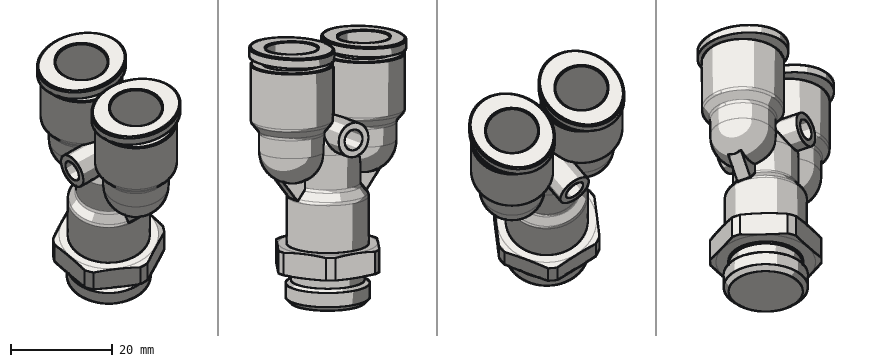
import cadquery as cq
import math

TOTAL_HEIGHT = 53.0

SPIGOT_RADIUS = 8.35
SPIGOT_CHAMFER = 1.0
SPIGOT_SHOULDER_HEIGHT = 3.9
RELIEF_RADIUS = 7.3
RELIEF_START = 4.5
RELIEF_FLARE_WIDTH = 0.15
RELIEF_FLARE_HEIGHT = 0.4

HEX_ACROSS_FLATS = 20.0
HEX_CORNER_RADIUS = 11.05
HEX_BOTTOM = 6.95
HEX_TOP = 12.0
HEX_CHAMFER_RADIUS = 9.85
HEX_TOP_CHAMFER_DROP = 0.3
HEX_BOTTOM_CHAMFER_DROP = 0.15

WIDE_RADIUS = 8.15
NARROW_RADIUS = 6.5
SLEEVE_BLEND = 1.0
EDGE_TOLERANCE = 0.01

BODY_TOP = 22.0
STEM_START = 24.1
STEM_DOME_CENTER = 31.5

BRANCH_OFFSET = 8.5
BRANCH_DOME_CENTER = 32.0
BRANCH_CONE_BOTTOM = 36.0
BRANCH_CONE_TOP = 38.0
BRANCH_TOP = 49.8
BRANCH_EDGE_CHAMFER = 0.2

COLLAR_NECK_RADIUS = 5.85
COLLAR_BOTTOM = 51.0
COLLAR_RADIUS_X = 8.0
COLLAR_RADIUS_Y = 9.35
COLLAR_CHAMFER = 0.3
BORE_RADIUS = 5.15
BORE_CHAMFER = 0.2
BORE_FLOOR = BRANCH_DOME_CENTER

TUBE_RADIUS = 3.5
TUBE_HOLE_RADIUS = 2.1
TUBE_HALF_LENGTH = 9.35
TUBE_HEIGHT = 35.0

WEB_THICKNESS = 3.0
WEB_TOP = 48.1
GUSSET_OUTER_X = 11.6
GUSSET_OUTER_Z = 26.4


def cylinder(radius, bottom, top):
    """Vertical cylinder on the Z axis between two heights."""
    return cq.Workplane("XY").workplane(offset=bottom).circle(radius).extrude(top - bottom)


def dome(center_height):
    """Sphere that rounds off a narrow sleeve."""
    return cq.Workplane("XY").sphere(NARROW_RADIUS).translate((0, 0, center_height))


def revolve_profile(points):
    """Solid of revolution about Z from (radius, height) points."""
    return cq.Workplane("XZ").polyline(points).close().revolve(360, (0, 0, 0), (0, 1, 0))


def round_edges_at(sleeve, heights):
    """Blend the circular edges of a sleeve that lie at the given heights."""
    for height in heights:
        lower_corner = (-WIDE_RADIUS, -WIDE_RADIUS, height - EDGE_TOLERANCE)
        upper_corner = (WIDE_RADIUS, WIDE_RADIUS, height + EDGE_TOLERANCE)
        sleeve = sleeve.edges(cq.selectors.BoxSelector(lower_corner, upper_corner)).fillet(SLEEVE_BLEND)
    return sleeve


def make_spigot():
    return revolve_profile([
        (0, 0),
        (SPIGOT_RADIUS - SPIGOT_CHAMFER, 0),
        (SPIGOT_RADIUS, SPIGOT_CHAMFER),
        (SPIGOT_RADIUS, SPIGOT_SHOULDER_HEIGHT),
        (RELIEF_RADIUS, RELIEF_START),
        (RELIEF_RADIUS, HEX_BOTTOM - RELIEF_FLARE_HEIGHT),
        (RELIEF_RADIUS + RELIEF_FLARE_WIDTH, HEX_BOTTOM),
        (0, HEX_BOTTOM),
    ])


def make_hexagon():
    """Hexagon with flats facing +Y and -Y, trimmed by a turned, chamfered envelope."""
    across_corners = HEX_ACROSS_FLATS / math.cos(math.pi / 6)
    prism = (
        cq.Workplane("XY")
        .workplane(offset=HEX_BOTTOM)
        .polygon(6, across_corners)
        .extrude(HEX_TOP - HEX_BOTTOM)
    )
    envelope = revolve_profile([
        (0, HEX_BOTTOM),
        (HEX_CHAMFER_RADIUS, HEX_BOTTOM),
        (HEX_CORNER_RADIUS, HEX_BOTTOM + HEX_BOTTOM_CHAMFER_DROP),
        (HEX_CORNER_RADIUS, HEX_TOP - HEX_TOP_CHAMFER_DROP),
        (HEX_CHAMFER_RADIUS, HEX_TOP),
        (0, HEX_TOP),
    ])
    return prism.intersect(envelope)


def make_stem():
    """Wide body that tapers to the narrow, domed stem between the branches."""
    sleeve = revolve_profile([
        (0, HEX_TOP),
        (WIDE_RADIUS, HEX_TOP),
        (WIDE_RADIUS, BODY_TOP),
        (NARROW_RADIUS, STEM_START),
        (NARROW_RADIUS, STEM_DOME_CENTER),
        (0, STEM_DOME_CENTER),
    ])
    sleeve = round_edges_at(sleeve, (BODY_TOP, STEM_START))
    return sleeve.union(dome(STEM_DOME_CENTER))


def make_branch():
    """One branch sleeve on the Z axis, before its bore is cut."""
    sleeve = revolve_profile([
        (0, BRANCH_DOME_CENTER),
        (NARROW_RADIUS, BRANCH_DOME_CENTER),
        (NARROW_RADIUS, BRANCH_CONE_BOTTOM),
        (WIDE_RADIUS, BRANCH_CONE_TOP),
        (WIDE_RADIUS, BRANCH_TOP),
        (0, BRANCH_TOP),
    ])
    sleeve = round_edges_at(sleeve, (BRANCH_CONE_BOTTOM, BRANCH_CONE_TOP))
    sleeve = sleeve.faces(">Z").edges().chamfer(BRANCH_EDGE_CHAMFER)
    return sleeve.union(dome(BRANCH_DOME_CENTER))


def make_collar():
    """Oval release collar on its round neck."""
    oval = (
        cq.Workplane("XY")
        .workplane(offset=COLLAR_BOTTOM)
        .ellipse(COLLAR_RADIUS_X, COLLAR_RADIUS_Y)
        .extrude(TOTAL_HEIGHT - COLLAR_BOTTOM)
        .faces(">Z").edges().chamfer(COLLAR_CHAMFER)
    )
    return oval.union(cylinder(COLLAR_NECK_RADIUS, BRANCH_TOP, COLLAR_BOTTOM))


def make_bore():
    """Blind tube bore with a countersunk mouth."""
    return revolve_profile([
        (0, BORE_FLOOR),
        (BORE_RADIUS, BORE_FLOOR),
        (BORE_RADIUS, TOTAL_HEIGHT - BORE_CHAMFER),
        (BORE_RADIUS + BORE_CHAMFER, TOTAL_HEIGHT),
        (0, TOTAL_HEIGHT),
    ])


def cross_cylinder(radius):
    """Cylinder along Y, centred on the part, at the cross tube height."""
    return (
        cq.Workplane("XZ")
        .center(0, TUBE_HEIGHT)
        .circle(radius)
        .extrude(TUBE_HALF_LENGTH, both=True)
    )


def make_webs():
    """Flat web joining the branches, with gussets running down to the body."""
    outline = [
        (-WIDE_RADIUS, BODY_TOP),
        (WIDE_RADIUS, BODY_TOP),
        (GUSSET_OUTER_X, GUSSET_OUTER_Z),
        (BRANCH_OFFSET, BRANCH_DOME_CENTER),
        (BRANCH_OFFSET, WEB_TOP),
        (-BRANCH_OFFSET, WEB_TOP),
        (-BRANCH_OFFSET, BRANCH_DOME_CENTER),
        (-GUSSET_OUTER_X, GUSSET_OUTER_Z),
    ]
    return cq.Workplane("XZ").polyline(outline).close().extrude(WEB_THICKNESS / 2, both=True)


body = make_spigot().union(make_hexagon()).union(make_stem()).union(make_webs())
body = body.union(cross_cylinder(TUBE_RADIUS))

branch = make_branch().union(make_collar())
bore = make_bore()
branch_positions = [(-BRANCH_OFFSET, 0, 0), (BRANCH_OFFSET, 0, 0)]
for position in branch_positions:
    body = body.union(branch.translate(position))
for position in branch_positions:
    body = body.cut(bore.translate(position))

result = body.cut(cross_cylinder(TUBE_HOLE_RADIUS))